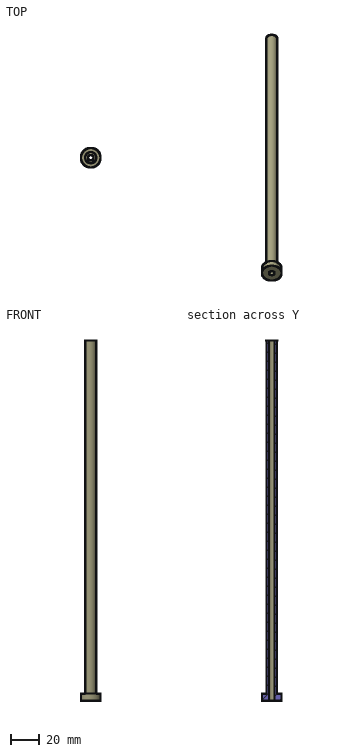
import cadquery as cq

total_length = 255.0
head_diameter = 14.0
head_height = 5.0
shaft_diameter = 8.0
bore_diameter = 3.8
neck_fillet = 0.5

head_radius = head_diameter / 2
shaft_radius = shaft_diameter / 2

head = cq.Workplane("XY").circle(head_radius).extrude(head_height)
shaft = cq.Workplane("XY").circle(shaft_radius).extrude(total_length)
body = head.union(shaft)

head_top = body.faces(cq.selectors.NearestToPointSelector((0, 0, head_height)))
neck_edge = head_top.edges(cq.selectors.RadiusNthSelector(0))
body = neck_edge.fillet(neck_fillet)

bore = cq.Workplane("XY").circle(bore_diameter / 2).extrude(total_length)
result = body.cut(bore)